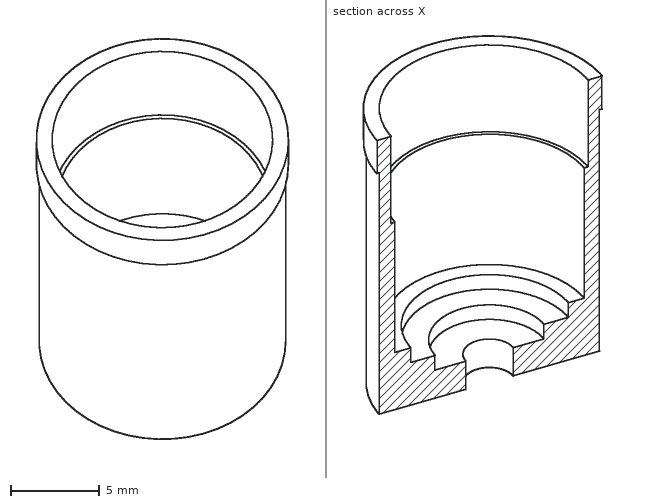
import cadquery as cq

height = 19.0
body_diameter = 14.0
collar_diameter = 14.3
collar_height = 2.3

mouth_diameter = 12.5
mouth_depth = 6.0
main_bore_diameter = 12.0
main_bore_depth = 15.01
floor_step = 1.0
seat_diameter = 10.0
seat_depth = main_bore_depth + floor_step
recess_diameter = 6.9
recess_depth = seat_depth + floor_step
through_hole_diameter = 3.0

bore_stages = [
    (mouth_diameter, mouth_depth),
    (main_bore_diameter, main_bore_depth),
    (seat_diameter, seat_depth),
    (recess_diameter, recess_depth),
    (through_hole_diameter, height),
]


def make_sleeve():
    """Plain outer cylinder with its top collar, standing on Z = 0."""
    body = cq.Workplane("XY").circle(body_diameter / 2).extrude(height)
    collar = (
        cq.Workplane("XY", origin=(0, 0, height - collar_height))
        .circle(collar_diameter / 2)
        .extrude(collar_height)
    )
    return body.union(collar)


def bore_from_top(part, diameter, depth):
    """Cut a centred round bore of the given depth down from the top face."""
    cutter = (
        cq.Workplane("XY", origin=(0, 0, height))
        .circle(diameter / 2)
        .extrude(-depth)
    )
    return part.cut(cutter)


result = make_sleeve()
for stage_diameter, stage_depth in bore_stages:
    result = bore_from_top(result, stage_diameter, stage_depth)